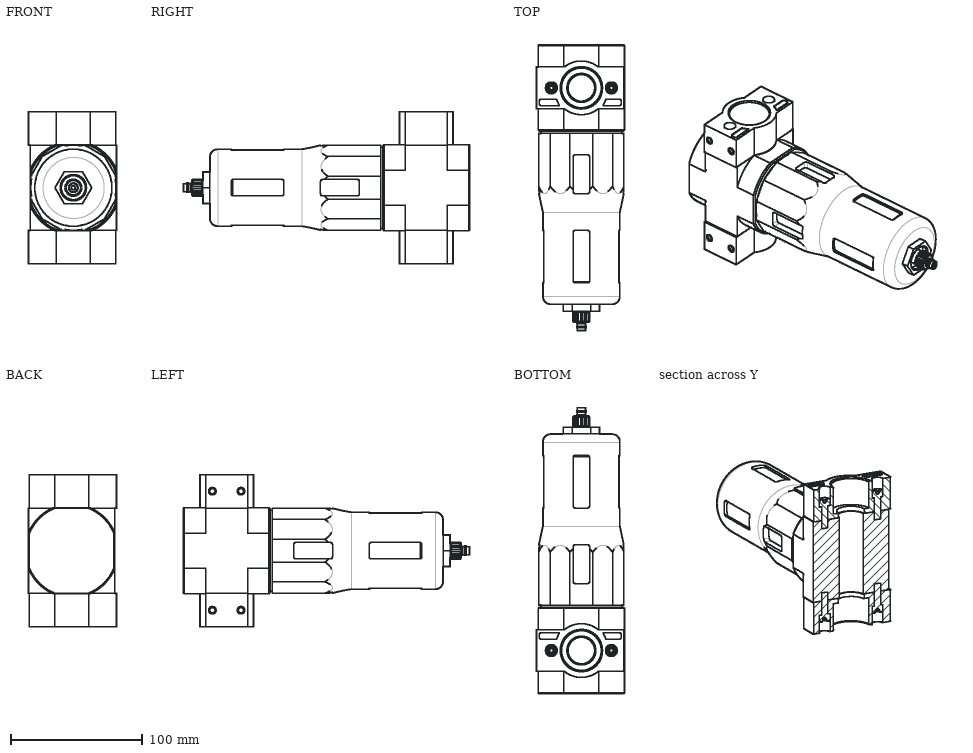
import cadquery as cq
import math


back_y = 33.0
housing_front_y = -33.1
flat_half = 33.0
round_radius = 35.5
back_chamfer = 0.7
front_chamfer = 1.0
block_half_y = 16.0
neck_diameter = 62.0
bore_diameter = 20.3

flange_left_x = -34.2
flange_right_x = 32.5
flange_seat_z = 32.5
flange_face_z = 58.0
boss_diameter = 41.0
port_diameter = 30.3
port_mouth_diameter = 32.3
port_depth = 21.8
flange_bore_diameter = 22.0
label_depth = 0.5
label_center_y = -11.1
label_height = 4.8
left_label_length = 15.3
right_label_length = 13.7
label_slant = 2.2
label_inset = 2.2
label_corner = 1.3

side_hole_y = 11.0
side_hole_z = 45.3
side_hole_diameter = 4.1
side_hole_mouth = 5.7
side_hole_depth = 3.0

screw_x = 22.9
screw_sink = 8.7
head_diameter = 9.0
head_top_diameter = 7.0
head_height = 5.7
shank_diameter = 5.0
shank_depth = 6.5
socket_mouth = 5.0
socket_diameter = 3.0
socket_depth = 2.0

bowl_top_y = -34.7
facet_count = 12
across_facets = 65.0
facet_end_y = -75.0
cone_end_y = -94.8
bowl_radius = 29.5
bowl_end_y = -165.0
bowl_fillet = 6.0
window_count = 4
window_width = 12.6
window_corner = 1.7
window_floor_radius = 27.7
upper_window_y = (-80.7, -51.0)
lower_window_y = (-148.7, -108.5)
lower_window_slope = 1.0

nut_across_flats = 24.2
nut_end_y = -170.3
nut_mouth_diameter = 20.0
nut_recess_diameter = 18.3
nut_recess_depth = 4.4

drain_end_y = -185.0
drain_neck_diameter = 11.1
knurl_diameter = 12.9
knurl_start_y = -171.1
knurl_end_y = -177.9
knurl_taper = 0.9
spline_count = 12
spline_width = 1.3
spline_depth = 0.9
stem_diameter = 6.8
stem_groove_diameter = 6.3
stem_groove_y = (-181.5, -179.8)
ring_diameter = 7.2
ring_width = 1.0
drain_hole_diameter = 3.0
drain_hole_depth = 4.4


def turned(outline):
    """Solid turned about Y from (radius, y) points, closed along the axis."""
    points = [(0, outline[0][1]), *outline, (0, outline[-1][1])]
    return cq.Workplane("XY").polyline(points).close().revolve(360, (0, 0), (0, 1))


def cylinder_z(diameter, bottom, top, x=0.0):
    return cq.Workplane("XY", origin=(x, 0, bottom)).circle(diameter / 2).extrude(top - bottom)


def drill(mouth, diameter, depth):
    """Cutter that enters along -Y from y = 0: a 45 degree mouth chamfer, a bore and a 90 degree tip."""
    radius = diameter / 2
    chamfer = mouth / 2 - radius
    half_section = (
        cq.Workplane("XY")
        .polyline([(0, 0), (mouth / 2, 0), (radius, -chamfer), (radius, -depth), (0, -depth - radius)])
        .close()
    )
    return half_section.revolve(360, (0, 0), (0, 1))


def screw_hole(x):
    """Stepped hole for one screw on the +Z side, through the flange and into the housing."""
    head_base_z = flange_face_z - screw_sink - head_height
    counterbore = cylinder_z(head_diameter, head_base_z, flange_face_z, x)
    shank = cylinder_z(shank_diameter, flange_seat_z - shank_depth, head_base_z, x)
    return counterbore.union(shank)


def flange_outline(bottom, top):
    """Rectangular plate with a round boss, between two heights."""
    width = flange_right_x - flange_left_x
    center_x = (flange_right_x + flange_left_x) / 2
    plate = (
        cq.Workplane("XY", origin=(center_x, 0, bottom))
        .rect(width, 2 * block_half_y)
        .extrude(top - bottom)
    )
    return plate.union(cylinder_z(boss_diameter, bottom, top))


def label_recess(outer_x, length, side):
    """Shallow label pocket; side is -1 for the left one and 1 for the right one."""
    low = label_center_y - label_height / 2
    high = label_center_y + label_height / 2
    inner_x = outer_x - side * length
    pocket = (
        cq.Workplane("XY", origin=(0, 0, flange_face_z - label_depth))
        .polyline([(outer_x, low), (outer_x, high), (inner_x + side * label_slant, high), (inner_x, low)])
        .close()
        .extrude(label_depth)
    )
    outer_edges = "|Z and <X" if side < 0 else "|Z and >X"
    return pocket.edges(outer_edges).fillet(label_corner)


def make_flange():
    """Flange on the +Z side."""
    flange = flange_outline(flange_seat_z, flange_face_z)
    flange = flange.cut(cylinder_z(port_diameter, flange_face_z - port_depth, flange_face_z))
    flange = flange.cut(cylinder_z(flange_bore_diameter, flange_seat_z, flange_face_z))
    mouth = (
        cq.Workplane("XY", origin=(0, 0, flange_face_z))
        .circle(port_mouth_diameter / 2)
        .workplane(offset=-(port_mouth_diameter - port_diameter) / 2)
        .circle(port_diameter / 2)
        .loft()
    )
    flange = flange.cut(mouth)
    for x in (-screw_x, screw_x):
        flange = flange.cut(screw_hole(x))
    flange = flange.cut(label_recess(flange_left_x + label_inset, left_label_length, -1))
    flange = flange.cut(label_recess(flange_right_x - label_inset, right_label_length, 1))
    side_drill = drill(side_hole_mouth, side_hole_diameter, side_hole_depth)
    side_drill = side_drill.rotate((0, 0, 0), (0, 0, 1), 90)
    for y in (-side_hole_y, side_hole_y):
        flange = flange.cut(side_drill.translate((flange_left_x, y, side_hole_z)))
    return flange


def make_screw(x):
    """Screw on the +Z side."""
    head_top_z = flange_face_z - screw_sink
    head_chamfer = (head_diameter - head_top_diameter) / 2
    head = cylinder_z(head_diameter, head_top_z - head_height, head_top_z, x)
    head = head.faces(">Z").chamfer(head_chamfer)
    shank = cylinder_z(shank_diameter, flange_seat_z - shank_depth, head_top_z - head_height, x)
    socket = drill(socket_mouth, socket_diameter, socket_depth).rotate((0, 0, 0), (1, 0, 0), 90)
    return head.union(shank).cut(socket.translate((x, 0, head_top_z)))


def opposite(body):
    """The same body on the -Z side."""
    return body.mirror("XY")


def make_housing():
    length = back_y - housing_front_y
    middle_y = (back_y + housing_front_y) / 2
    barrel = cq.Workplane("XZ", origin=(0, back_y, 0)).circle(round_radius).extrude(length)
    flats = cq.Workplane("XY").box(2 * flat_half, length, 2 * flat_half).translate((0, middle_y, 0))
    housing = barrel.intersect(flats)
    housing = housing.faces(">Y").chamfer(back_chamfer)
    housing = housing.faces("<Y").chamfer(front_chamfer)
    block = cq.Workplane("XY").box(2 * flat_half, 2 * block_half_y, 2 * flange_seat_z)
    housing = housing.union(block)
    neck = (
        cq.Workplane("XZ", origin=(0, housing_front_y, 0))
        .circle(neck_diameter / 2)
        .extrude(housing_front_y - bowl_top_y)
    )
    housing = housing.union(neck)
    seat = flange_outline(flange_seat_z, flange_face_z)
    for cutter in (seat, screw_hole(-screw_x), screw_hole(screw_x)):
        housing = housing.cut(cutter).cut(opposite(cutter))
    return housing.cut(cylinder_z(bore_diameter, -flange_face_z, flange_face_z))


def window_prism(y_range):
    """Rounded rectangular prism on the +Z side, from the axis out past the facets."""
    front_y, rear_y = y_range
    return (
        cq.Workplane("XY")
        .center(0, (front_y + rear_y) / 2)
        .rect(window_width, rear_y - front_y)
        .extrude(across_facets / 2)
        .edges("|Z")
        .fillet(window_corner)
    )


def upper_window():
    """Window cutter with a round floor, on the +Z side."""
    front_y, rear_y = upper_window_y
    core = turned([(window_floor_radius, rear_y), (window_floor_radius, front_y)])
    return window_prism(upper_window_y).cut(core)


def lower_window():
    """Window cutter with a round floor that slopes outwards at its front end, on the +Z side."""
    front_y, rear_y = lower_window_y
    core = turned([
        (window_floor_radius, rear_y),
        (window_floor_radius, front_y + lower_window_slope),
        (bowl_radius, front_y),
    ])
    return window_prism(lower_window_y).cut(core)


def make_bowl():
    corner_radius = across_facets / 2 / math.cos(math.pi / facet_count)
    blank = turned([
        (corner_radius, bowl_top_y),
        (corner_radius, facet_end_y),
        (bowl_radius, cone_end_y),
        (bowl_radius, bowl_end_y),
    ])
    blank = blank.faces("<Y").edges().fillet(bowl_fillet)
    facets = (
        cq.Workplane("XZ", origin=(0, bowl_top_y, 0))
        .polygon(facet_count, 2 * corner_radius)
        .extrude(bowl_top_y - bowl_end_y)
        .rotate((0, 0, 0), (0, 1, 0), 180 / facet_count)
    )
    bowl = blank.intersect(facets)
    for window in (upper_window(), lower_window()):
        for index in range(window_count):
            bowl = bowl.cut(window.rotate((0, 0, 0), (0, 1, 0), index * 360 / window_count))
    return bowl


def make_nut():
    corner_diameter = nut_across_flats / math.cos(math.pi / 6)
    nut = (
        cq.Workplane("XZ", origin=(0, bowl_end_y, 0))
        .polygon(6, corner_diameter)
        .extrude(bowl_end_y - nut_end_y)
    )
    mouth_chamfer = (nut_mouth_diameter - nut_recess_diameter) / 2
    recess = turned([
        (nut_recess_diameter / 2, nut_end_y + nut_recess_depth),
        (nut_recess_diameter / 2, nut_end_y + mouth_chamfer),
        (nut_mouth_diameter / 2, nut_end_y),
    ])
    return nut.cut(recess)


def make_drain_screw():
    neck = drain_neck_diameter / 2
    knurl = knurl_diameter / 2
    stem = stem_diameter / 2
    groove = stem_groove_diameter / 2
    ring = ring_diameter / 2
    groove_end_y, groove_start_y = stem_groove_y
    ring_end_y = groove_end_y - ring_width
    drain = turned([
        (neck, nut_end_y + nut_recess_depth),
        (neck, knurl_start_y),
        (knurl, knurl_start_y),
        (knurl, knurl_end_y),
        (knurl - knurl_taper, knurl_end_y - knurl_taper),
        (stem, knurl_end_y - knurl_taper),
        (stem, groove_start_y),
        (groove, groove_start_y),
        (groove, groove_end_y),
        (ring, groove_end_y),
        (ring, ring_end_y),
        (groove, ring_end_y),
        (groove, drain_end_y),
    ])
    spline = (
        cq.Workplane("XZ", origin=(0, knurl_start_y, 0))
        .center(0, knurl)
        .rect(spline_width, 2 * spline_depth)
        .extrude(knurl_start_y - knurl_end_y + knurl_taper)
    )
    for index in range(spline_count):
        drain = drain.cut(spline.rotate((0, 0, 0), (0, 1, 0), index * 360 / spline_count))
    hole = (
        cq.Workplane("XZ", origin=(0, drain_end_y + drain_hole_depth, 0))
        .circle(drain_hole_diameter / 2)
        .extrude(drain_hole_depth)
    )
    return drain.cut(hole)


housing = make_housing()
bowl = make_bowl()
nut = make_nut()
drain_screw = make_drain_screw()

upper_flange = make_flange()
flanges = [upper_flange, opposite(upper_flange)]

screws = []
for x in (-screw_x, screw_x):
    screw = make_screw(x)
    screws += [screw, opposite(screw)]

bodies = [housing, *flanges, *screws, bowl, nut, drain_screw]
result = cq.Compound.makeCompound([body.val() for body in bodies])